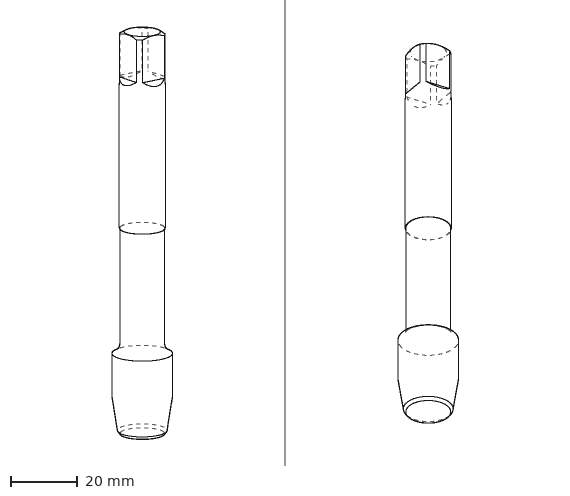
import cadquery as cq
import math

total_length = 125.0

head_diameter = 18.2
head_top_z = 25.0
taper_top_z = 11.5
taper_end_diameter = 15.0
tip_diameter = 13.5
tip_chamfer_height = 1.0

neck_diameter = 13.5
flare_radius = 3.2

shank_diameter = 14.0
shank_end_diameter = 13.8
shank_bottom_z = 63.9
shank_top_z = 109.1
shank_chamfer_height = 0.6

drive_diameter = shank_end_diameter
drive_width = 11.0
drive_flat_bottom_z = 111.0
drive_runout_angle = 42.0
drive_top_diameter = 10.9
drive_chamfer_height = 0.8


def revolve_profile(profile):
    """Turn a closed half profile, drawn in XZ, about the Z axis."""
    return profile.close().revolve(360, (0, 0, 0), (0, 1, 0))


def make_head():
    """Thread head with its lead taper and tip chamfer."""
    head_radius = head_diameter / 2
    profile = (
        cq.Workplane("XZ")
        .lineTo(tip_diameter / 2, 0)
        .lineTo(taper_end_diameter / 2, tip_chamfer_height)
        .lineTo(head_radius, taper_top_z)
        .lineTo(head_radius, head_top_z)
        .lineTo(0, head_top_z)
    )
    return revolve_profile(profile)


def make_turned_shank():
    """Flare, neck, shank and round drive stub, before the flats are cut."""
    neck_radius = neck_diameter / 2
    shank_radius = shank_diameter / 2
    drive_radius = drive_diameter / 2

    flare_width = head_diameter / 2 - neck_radius
    flare_angle = math.acos(1 - flare_width / flare_radius)
    flare_top_z = head_top_z + flare_radius * math.sin(flare_angle)
    flare_middle = (
        neck_radius + flare_radius * (1 - math.cos(flare_angle / 2)),
        flare_top_z - flare_radius * math.sin(flare_angle / 2),
    )

    profile = (
        cq.Workplane("XZ")
        .moveTo(0, head_top_z)
        .lineTo(head_diameter / 2, head_top_z)
        .threePointArc(flare_middle, (neck_radius, flare_top_z))
        .lineTo(neck_radius, shank_bottom_z)
        .lineTo(shank_end_diameter / 2, shank_bottom_z)
        .lineTo(shank_radius, shank_bottom_z + shank_chamfer_height)
        .lineTo(shank_radius, shank_top_z - shank_chamfer_height)
        .lineTo(drive_radius, shank_top_z)
        .lineTo(drive_radius, total_length - drive_chamfer_height)
        .lineTo(drive_top_diameter / 2, total_length)
        .lineTo(0, total_length)
    )
    return revolve_profile(profile)


def make_flat_cutter():
    """Cutter for the +X drive flat, with a sloping run-out at its foot."""
    flat_x = drive_width / 2
    outer_x = shank_diameter
    runout_drop = (outer_x - flat_x) / math.tan(math.radians(drive_runout_angle))
    return (
        cq.Workplane("XZ")
        .moveTo(flat_x, total_length)
        .lineTo(flat_x, drive_flat_bottom_z)
        .lineTo(outer_x, drive_flat_bottom_z - runout_drop)
        .lineTo(outer_x, total_length)
        .close()
        .extrude(shank_diameter / 2, both=True)
    )


def make_shank():
    """Shank with its four-sided drive end."""
    shank = make_turned_shank()
    cutter = make_flat_cutter()
    for side in range(4):
        shank = shank.cut(cutter.rotate((0, 0, 0), (0, 0, 1), 90 * side))
    return shank


head = make_head()
shank = make_shank()

result = cq.Compound.makeCompound([head.val(), shank.val()])